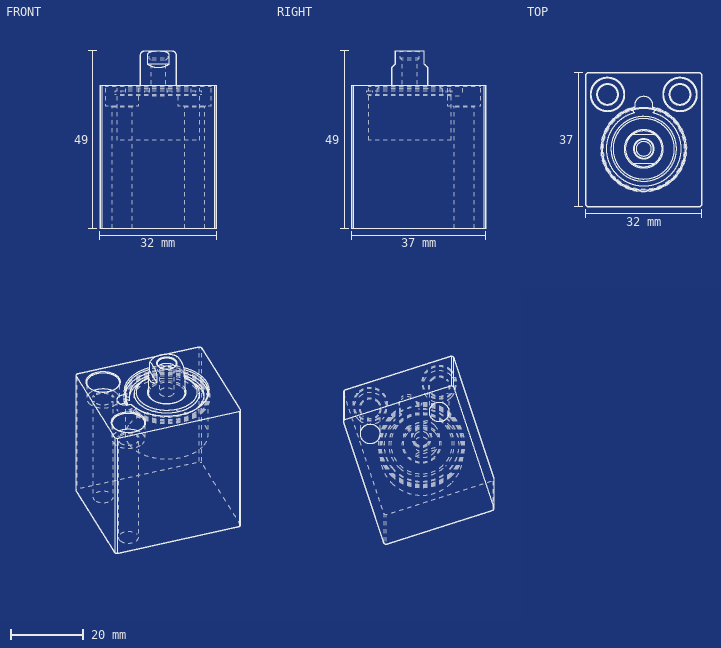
import cadquery as cq
import math

WIDTH = 32.0
LENGTH = 37.0
TOTAL_HEIGHT = 49.0
HEIGHT = 39.5
AXIS_TO_FRONT = WIDTH / 2
CORNER_CHAMFER = 0.5

MOUNT_X = 10.0
MOUNT_Y = 15.0
MOUNT_HOLE_DIAMETER = 5.5
COUNTERBORE_DIAMETER = 9.0
COUNTERBORE_DEPTH = 5.7
MOUNT_CHAMFER = 0.25

RECESS_DIAMETER = 22.8
RECESS_DEPTH = 15.0
RECESS_CHAMFER = 0.35
NOTCH_WIDTH = 4.9
NOTCH_END_Y = 14.5
NOTCH_DEPTH = 3.0

FLANGE_DEPTH = 2.5
FLANGE_CHAMFER = 0.25
BOSS_DIAMETER = 18.0
BOSS_TOP_DEPTH = 0.5
BOSS_CHAMFER_WIDTH = 0.6
BOSS_CHAMFER_HEIGHT = 0.5
BOSS_FOOT_RADIUS = 0.3
ROD_GROOVE_SIZE = 0.35

RING_INNER_RADIUS = 10.3
RING_TOP_DEPTH = 1.5
RING_GAP = 5.1
RING_GAP_ANGLE = 45.0
RING_GROOVE_RADIUS = RECESS_DIAMETER / 2 + 0.5

ROD_DIAMETER = 10.0
ROD_FILLET = 1.25
FLATS_WIDTH = 8.0
FLATS_HEIGHT = 3.65
SOCKET_DIAMETER = 5.25
SOCKET_DEPTH = 2.0
SOCKET_CHAMFER = 0.2
PILOT_DIAMETER = 4.1
PILOT_DEPTH = 10.0

RECESS_FLOOR = HEIGHT - RECESS_DEPTH
FLANGE_TOP = HEIGHT - FLANGE_DEPTH
RING_TOP = HEIGHT - RING_TOP_DEPTH


def cylinder(diameter, bottom, top):
    """Cylinder on the Z axis between two heights."""
    return cq.Workplane().workplane(offset=bottom).circle(diameter / 2).extrude(top - bottom)


def revolve_profile(points):
    """Revolve a closed radius-height outline about the Z axis."""
    return cq.Workplane("XZ").polyline(points).close().revolve(360, (0, 0, 0), (0, 1, 0))


def chamfer_cutter(diameter, size, top):
    """Cone frustum that breaks the upper edge of a hole by 45 degrees."""
    radius = diameter / 2
    return revolve_profile([(0, top - size), (radius, top - size), (radius + size, top), (0, top)])


def mounting_hole_cutter():
    """Through hole, counterbore and the chamfer at the mouth of each."""
    seat = HEIGHT - COUNTERBORE_DEPTH
    return (
        cylinder(MOUNT_HOLE_DIAMETER, 0, HEIGHT)
        .union(cylinder(COUNTERBORE_DIAMETER, seat, HEIGHT))
        .union(chamfer_cutter(MOUNT_HOLE_DIAMETER, MOUNT_CHAMFER, seat))
        .union(chamfer_cutter(COUNTERBORE_DIAMETER, MOUNT_CHAMFER, HEIGHT))
    )


def notch_cutter():
    """Slot running from the recess to a half-round outer end."""
    radius = NOTCH_WIDTH / 2
    end_center_y = NOTCH_END_Y - radius
    return (
        cq.Workplane()
        .workplane(offset=HEIGHT - NOTCH_DEPTH)
        .moveTo(-radius, 0)
        .lineTo(radius, 0)
        .lineTo(radius, end_center_y)
        .threePointArc((0, NOTCH_END_Y), (-radius, end_center_y))
        .close()
        .extrude(NOTCH_DEPTH)
    )


def make_housing():
    body = (
        cq.Workplane()
        .box(WIDTH, LENGTH, HEIGHT, centered=(True, False, False))
        .translate((0, -AXIS_TO_FRONT, 0))
        .edges("|Z")
        .chamfer(CORNER_CHAMFER)
    )
    for x in (-MOUNT_X, MOUNT_X):
        body = body.cut(mounting_hole_cutter().translate((x, MOUNT_Y, 0)))
    body = body.cut(cylinder(RECESS_DIAMETER, RECESS_FLOOR, HEIGHT))
    body = body.cut(chamfer_cutter(RECESS_DIAMETER, RECESS_CHAMFER, HEIGHT))
    body = body.cut(cylinder(2 * RING_GROOVE_RADIUS, FLANGE_TOP, RING_TOP))
    return body.cut(notch_cutter())


def make_snap_ring():
    """Flat ring filling the groove, with a gap at +Y that widens outward."""
    thickness = RING_TOP - FLANGE_TOP
    inner_x = RING_GAP / 2
    inner_y = math.sqrt(RING_INNER_RADIUS**2 - inner_x**2)
    outer_y = RING_GROOVE_RADIUS
    outer_x = inner_x + (outer_y - inner_y) * math.tan(math.radians(RING_GAP_ANGLE))
    base = cq.Workplane().workplane(offset=FLANGE_TOP)
    ring = base.circle(RING_GROOVE_RADIUS).circle(RING_INNER_RADIUS).extrude(thickness)
    gap = (
        base.polyline([(-inner_x, 0), (inner_x, 0), (inner_x, inner_y), (outer_x, outer_y),
                       (-outer_x, outer_y), (-inner_x, inner_y)])
        .close()
        .extrude(thickness)
    )
    return ring.cut(gap)


def gland_shape():
    """Gland without the rod."""
    flange_radius = RECESS_DIAMETER / 2
    boss_radius = BOSS_DIAMETER / 2
    boss_top = HEIGHT - BOSS_TOP_DEPTH
    foot_center = (boss_radius + BOSS_FOOT_RADIUS, FLANGE_TOP + BOSS_FOOT_RADIUS)
    foot_reach = BOSS_FOOT_RADIUS * math.sqrt(0.5)
    gland = (
        cq.Workplane("XZ")
        .moveTo(0, RECESS_FLOOR)
        .lineTo(flange_radius, RECESS_FLOOR)
        .lineTo(flange_radius, FLANGE_TOP - FLANGE_CHAMFER)
        .lineTo(flange_radius - FLANGE_CHAMFER, FLANGE_TOP)
        .lineTo(foot_center[0], FLANGE_TOP)
        .threePointArc(
            (foot_center[0] - foot_reach, foot_center[1] - foot_reach),
            (boss_radius, foot_center[1]),
        )
        .lineTo(boss_radius, boss_top - BOSS_CHAMFER_HEIGHT)
        .lineTo(boss_radius - BOSS_CHAMFER_WIDTH, boss_top)
        .lineTo(0, boss_top)
        .close()
        .revolve(360, (0, 0, 0), (0, 1, 0))
    )
    return gland.cut(chamfer_cutter(ROD_DIAMETER, ROD_GROOVE_SIZE, boss_top))


def flat_cutter():
    """Cut for the wrench flat facing +Y, with a 45 degree run-out below it."""
    flat = FLATS_WIDTH / 2
    outside = ROD_DIAMETER / 2
    flat_bottom = TOTAL_HEIGHT - FLATS_HEIGHT
    runout_bottom = flat_bottom - (outside - flat)
    return (
        cq.Workplane("YZ")
        .polyline([(flat, TOTAL_HEIGHT), (flat, flat_bottom), (outside, runout_bottom),
                   (outside, TOTAL_HEIGHT)])
        .close()
        .extrude(outside, both=True)
    )


def end_hole_cutter():
    """Chamfered socket tapering at 45 degrees into a smaller pilot hole."""
    socket_radius = SOCKET_DIAMETER / 2
    pilot_radius = PILOT_DIAMETER / 2
    socket_bottom = TOTAL_HEIGHT - SOCKET_DEPTH
    taper_bottom = socket_bottom - (socket_radius - pilot_radius)
    pilot_bottom = TOTAL_HEIGHT - PILOT_DEPTH
    return revolve_profile([
        (0, pilot_bottom),
        (pilot_radius, pilot_bottom),
        (pilot_radius, taper_bottom),
        (socket_radius, socket_bottom),
        (socket_radius, TOTAL_HEIGHT - SOCKET_CHAMFER),
        (socket_radius + SOCKET_CHAMFER, TOTAL_HEIGHT),
        (0, TOTAL_HEIGHT),
    ])


def make_rod_and_gland():
    """Rod with flats and end hole, in one piece with the gland."""
    rod = cylinder(ROD_DIAMETER, RECESS_FLOOR, TOTAL_HEIGHT).faces(">Z").edges().fillet(ROD_FILLET)
    for angle in (0, 180):
        rod = rod.cut(flat_cutter().rotate((0, 0, 0), (0, 0, 1), angle))
    return gland_shape().union(rod).cut(end_hole_cutter())


housing = make_housing()
snap_ring = make_snap_ring()
rod_and_gland = make_rod_and_gland()

result = cq.Compound.makeCompound([housing.val(), snap_ring.val(), rod_and_gland.val()])